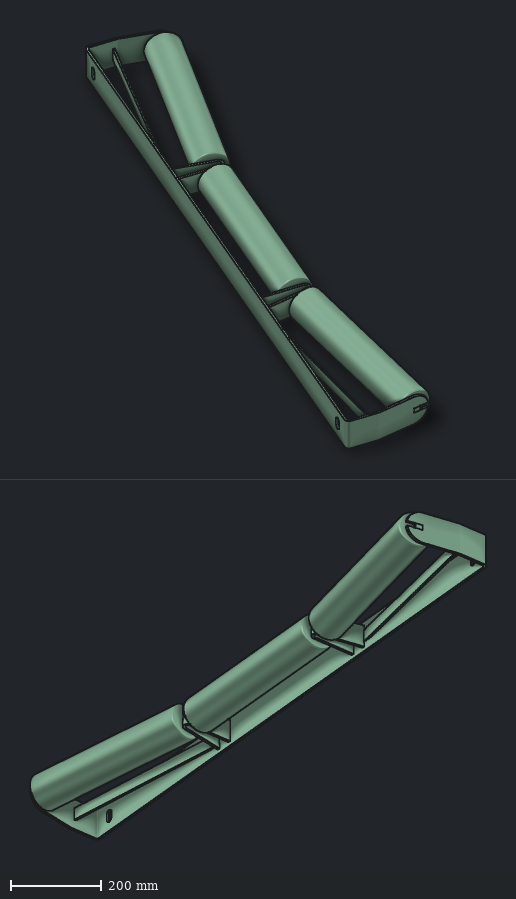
import cadquery as cq
import math

frame_length = 1400.0
frame_width = 80.0
sheet = 6.0
corner_radius = 11.0
tilt = 10.0

bend_height = 80.0
end_plate_height = 210.0

saddle_width = 56.0
saddle_height = 126.0
saddle_shoulder_height = 115.0
upright_face_x = 218.0
leaning_foot_x = 263.0

brace_width = 31.0
brace_thickness = 5.0
brace_top_height = 71.0
brace_foot_x = 255.0

mount_slot_x = 652.0
mount_slot_width = 17.0
mount_slot_length = 31.0

roller_diameter = 90.0
roller_length = 428.0
roller_edge_radius = 5.0
middle_axis_height = 98.0
side_axis_height = 141.0
shaft_width = 13.0
shaft_height = 17.0

sin_tilt = math.sin(math.radians(tilt))
cos_tilt = math.cos(math.radians(tilt))
tan_tilt = math.tan(math.radians(tilt))
half_length = frame_length / 2
end_inner_x = half_length - sheet

leaning_plate_distance = leaning_foot_x * cos_tilt - sheet
end_plate_distance = half_length * cos_tilt + bend_height * sin_tilt
side_center_distance = (leaning_plate_distance + end_plate_distance) / 2
side_center_x = (side_center_distance - side_axis_height * sin_tilt) / cos_tilt

middle_shaft_reach = upright_face_x + sheet
side_shaft_reach = (end_plate_distance - leaning_plate_distance) / 2


def with_mirror_image(body):
    return body.union(body.mirror("YZ"))


def place_on_axis(body, side):
    """Move a body from the origin to the left (-1), middle (0) or right (1) roller axis."""
    if side == 0:
        return body.translate((0, middle_axis_height, 0))
    tilted = body.rotate((0, 0, 0), (0, 0, 1), side * tilt)
    return tilted.translate((side * side_center_x, side_axis_height, 0))


def shaft_reach(side):
    return middle_shaft_reach if side == 0 else side_shaft_reach


def make_base():
    return cq.Workplane("XY").box(frame_length, sheet, frame_width, centered=(True, False, True))


def make_end_plate():
    """Right end plate, cut to a half-round top."""
    top_x = half_length - (end_plate_height - bend_height) * tan_tilt
    inner_bend_height = bend_height - sheet * math.tan(math.radians(tilt / 2))
    profile = (
        cq.Workplane("XY")
        .moveTo(half_length, 0)
        .lineTo(half_length, bend_height)
        .lineTo(top_x, end_plate_height)
        .lineTo(top_x - sheet * cos_tilt, end_plate_height - sheet * sin_tilt)
        .lineTo(end_inner_x, inner_bend_height)
        .lineTo(end_inner_x, 0)
        .close()
    )
    radius = frame_width / 2
    outline = (
        cq.Workplane("YZ")
        .moveTo(0, -radius)
        .lineTo(end_plate_height - radius, -radius)
        .threePointArc((end_plate_height, 0), (end_plate_height - radius, radius))
        .lineTo(0, radius)
        .close()
        .extrude(frame_length)
    )
    return profile.extrude(frame_width / 2, both=True).intersect(outline)


def make_saddle():
    """Right saddle: one strip folded into two legs under an arched top."""
    upright_inner_x = upright_face_x + sheet
    shoulder_lean = saddle_shoulder_height * tan_tilt
    leaning_outer_x = leaning_foot_x - shoulder_lean
    leaning_inner_foot_x = leaning_foot_x - sheet / cos_tilt
    leaning_inner_x = leaning_inner_foot_x - shoulder_lean
    arch_x = (upright_face_x + leaning_outer_x) / 2
    profile = (
        cq.Workplane("XY")
        .moveTo(upright_face_x, 0)
        .lineTo(upright_face_x, saddle_shoulder_height)
        .threePointArc((arch_x, saddle_height), (leaning_outer_x, saddle_shoulder_height))
        .lineTo(leaning_foot_x, 0)
        .lineTo(leaning_inner_foot_x, 0)
        .lineTo(leaning_inner_x, saddle_shoulder_height)
        .threePointArc((arch_x, saddle_height - sheet), (upright_inner_x, saddle_shoulder_height))
        .lineTo(upright_inner_x, 0)
        .close()
    )
    return profile.extrude(saddle_width / 2, both=True)


def make_brace():
    """Right brace: a straight strip that runs out on the base."""
    slope = (brace_top_height - sheet) / (end_inner_x - brace_foot_x)
    lower_foot_x = brace_foot_x + brace_thickness / slope
    profile = (
        cq.Workplane("XY")
        .moveTo(brace_foot_x, sheet)
        .lineTo(end_inner_x, brace_top_height)
        .lineTo(end_inner_x, brace_top_height - brace_thickness)
        .lineTo(lower_foot_x, sheet)
        .close()
    )
    return profile.extrude(brace_width / 2, both=True)


def make_mount_slots():
    return (
        cq.Workplane("XZ")
        .pushPoints([(-mount_slot_x, 0), (mount_slot_x, 0)])
        .slot2D(mount_slot_length, mount_slot_width, 90)
        .extrude(-sheet)
    )


def make_shaft_slot(side):
    """Cutter for the open-topped slots that hold both shaft ends of one roller."""
    length = 2 * (shaft_reach(side) + sheet)
    cutter = cq.Workplane("XY").box(length, end_plate_height, shaft_width)
    lifted = cutter.translate((0, (end_plate_height - shaft_height) / 2, 0))
    return place_on_axis(lifted, side)


def make_frame():
    body = make_base().union(with_mirror_image(make_end_plate()))
    body = body.edges("|Z and <Y").fillet(corner_radius)
    inner_corners = cq.selectors.BoxSelector(
        (-half_length, sheet / 2, -frame_width), (half_length, 2 * sheet, frame_width)
    )
    body = body.edges("|Z").edges(inner_corners).fillet(corner_radius - sheet)
    body = body.union(with_mirror_image(make_saddle()))
    body = body.union(with_mirror_image(make_brace()))
    body = body.cut(make_mount_slots())
    for side in (-1, 0, 1):
        body = body.cut(make_shaft_slot(side))
    return body


def make_roller(side):
    drum = (
        cq.Workplane("YZ", origin=(-roller_length / 2, 0, 0))
        .circle(roller_diameter / 2)
        .extrude(roller_length)
        .edges("%CIRCLE")
        .fillet(roller_edge_radius)
    )
    shaft = cq.Workplane("XY").box(2 * shaft_reach(side), shaft_height, shaft_width)
    return place_on_axis(drum.union(shaft), side)


frame = make_frame()
rollers = [make_roller(side) for side in (-1, 0, 1)]

result = cq.Compound.makeCompound([frame.val(), *[roller.val() for roller in rollers]])